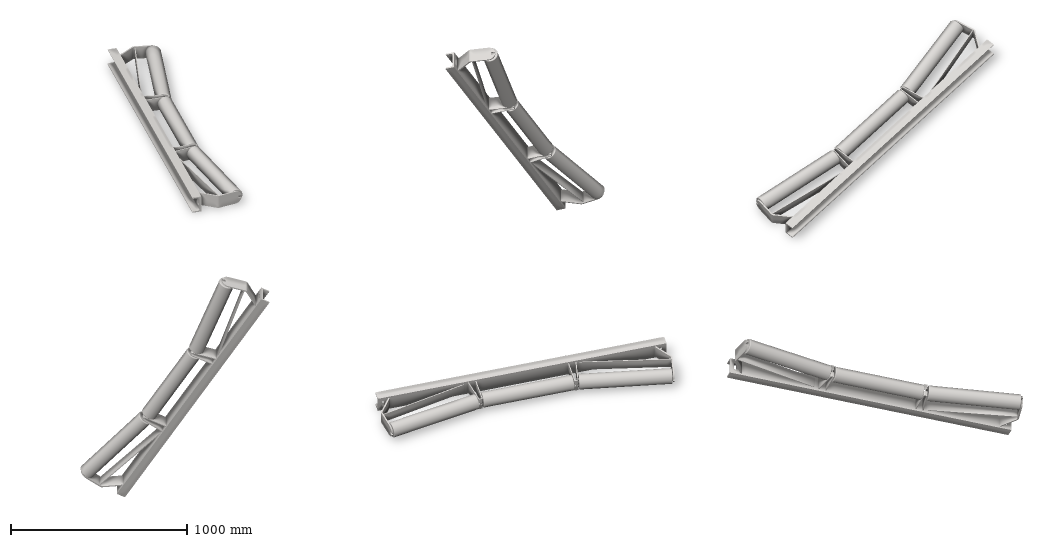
import math

import cadquery as cq

rail_length = 1697.0
rail_depth = 53.0
rail_height = 100.0
web_thickness = 10.0
flange_thickness = 7.7
root_radius = 9.0
toe_radius = 6.0
slot_width = 15.0
slot_height = 41.0
slot_from_end = 30.0

roller_length = 532.0
roller_diameter = 89.0
roller_fillet = 3.0
shaft_diameter = 24.0
shaft_flats = 15.0
end_gap = 3.0
middle_roller_y = 168.0
wing_roller_x = 563.0
wing_roller_y = 217.0
wing_angle = 10.0

plate_width = 79.0
outer_plate_thickness = 8.2
inner_plate_thickness = 5.0
bend_drop = 116.0
head_top = 33.0
bend_radius = 10.0
leg_angle = 35.0
bracket_top_y = 197.0
bracket_bend_radius = 2.0

brace_thickness = 5.0
brace_width = 62.0
brace_top_drop = 106.0
brace_foot_x = 360.0

roller_radius = roller_diameter / 2
half_roller = roller_length / 2
plate_offset = half_roller + end_gap
tilt = math.radians(wing_angle)
axis_direction = cq.Vector(math.cos(tilt), -math.sin(tilt))
up_direction = cq.Vector(math.sin(tilt), math.cos(tilt))
wing_center = cq.Vector(-wing_roller_x, wing_roller_y)


def wing_point(along, above):
    """Point of the left wing, measured along its roller axis and square to it."""
    return wing_center + axis_direction * along + up_direction * above


def point_at_height(start, direction, y):
    """Point where a line through start reaches the height y."""
    return start + direction * ((y - start.y) / direction.y)


def folded_plate(points, thickness, width):
    """Plate that follows a polyline in XY; its thickness lies to the left of the path."""
    directions = [(b - a).normalized() for a, b in zip(points, points[1:])]
    normals = [cq.Vector(-d.y, d.x) for d in directions]
    far_side = [points[0] + normals[0] * thickness]
    for point, before, after in zip(points[1:], normals, normals[1:]):
        miter = (before + after) * (thickness / (1 + before.dot(after)))
        far_side.append(point + miter)
    far_side.append(points[-1] + normals[-1] * thickness)
    outline = [(p.x, p.y) for p in points + far_side[::-1]]
    return cq.Workplane("XY", origin=(0, 0, -width / 2)).polyline(outline).close().extrude(width)


def round_fold(plate, corner, radius):
    """Round the edge along Z that lies nearest to a corner point."""
    nearest = cq.selectors.NearestToPointSelector(corner.toTuple())
    return plate.edges("|Z").edges(nearest).fillet(radius)


def cylinder_along_x(radius, start_x, end_x):
    return cq.Workplane("YZ", origin=(start_x, 0, 0)).circle(radius).extrude(end_x - start_x)


def above_rail(body):
    """Trim a body flush with the outer face of the channel web."""
    size = rail_length * 2
    keep = cq.Workplane("XY").box(size, size, size).translate((0, rail_depth + size / 2, 0))
    return body.intersect(keep)


def mirrored(body):
    return body.mirror("YZ")


def place_on_wing(body):
    """Move a body from the origin, with its axis along X, to the left wing roller."""
    return body.rotate((0, 0, 0), (0, 0, 1), -wing_angle).translate(wing_center)


def place_in_middle(body):
    return body.translate((0, middle_roller_y, 0))


def round_edge_along_x(body, y, z, radius):
    """Round the edge along X that lies nearest to the given y and z."""
    nearest = cq.selectors.NearestToPointSelector((0, y, z))
    return body.edges("|X").edges(nearest).fillet(radius)


def make_rail():
    """Channel with rounded inner corners and flange toes, and a slot near each end."""
    half_height = rail_height / 2
    inner_half_height = half_height - flange_thickness
    web_inner_y = rail_depth - web_thickness
    outline = [
        (0, -half_height),
        (rail_depth, -half_height),
        (rail_depth, half_height),
        (0, half_height),
        (0, inner_half_height),
        (web_inner_y, inner_half_height),
        (web_inner_y, -inner_half_height),
        (0, -inner_half_height),
    ]
    left_end = cq.Workplane("YZ", origin=(-rail_length / 2, 0, 0))
    rail = left_end.polyline(outline).close().extrude(rail_length)
    for side in (-1, 1):
        rail = round_edge_along_x(rail, web_inner_y, side * inner_half_height, root_radius)
        rail = round_edge_along_x(rail, 0, side * inner_half_height, toe_radius)
    slot_x = rail_length / 2 - slot_from_end
    slots = (
        cq.Workplane("XZ")
        .pushPoints([(-slot_x, 0), (slot_x, 0)])
        .slot2D(slot_height, slot_width, 90)
        .extrude(-rail_depth)
    )
    return rail.cut(slots)


def make_roller(left_end, right_end):
    """Roller at the origin, axis along X; its shaft reaches from left_end to right_end."""
    barrel = cylinder_along_x(roller_radius, -half_roller, half_roller)
    barrel = barrel.faces("<X or >X").edges().fillet(roller_fillet)
    shaft = cylinder_along_x(shaft_diameter / 2, -left_end, right_end)
    between_flats = cq.Workplane("XY").box(2 * (left_end + right_end), shaft_diameter, shaft_flats)
    return barrel.union(shaft.intersect(between_flats))


def shaft_slot(x, reach):
    """Cutter at the origin for a shaft slot around x: round below, open above."""
    seat = cylinder_along_x(shaft_diameter / 2, -reach, reach)
    mouth = cq.Workplane("XY").box(2 * reach, plate_width, shaft_diameter)
    seat = seat.union(mouth.translate((0, plate_width / 2, 0)))
    between_flats = cq.Workplane("XY").box(2 * reach, 2 * plate_width, shaft_flats)
    return seat.intersect(between_flats).translate((x, 0, 0))


def make_outer_plate():
    """Upright with a rounded, slotted head, bent towards the middle into a leg."""
    outer_face = -plate_offset - outer_plate_thickness
    top = wing_point(outer_face, head_top)
    bend = wing_point(outer_face, -bend_drop)
    lean = math.radians(leg_angle)
    foot = point_at_height(bend, cq.Vector(math.sin(lean), -math.cos(lean)), 0)
    plate = folded_plate([top, bend, foot], outer_plate_thickness, plate_width)
    inner_bend = wing_point(-plate_offset, -bend_drop)
    plate = round_fold(plate, inner_bend, bend_radius)
    plate = round_fold(plate, bend, bend_radius + outer_plate_thickness)
    return round_head(above_rail(plate))


def round_head(plate):
    """Round the top of an outer plate and cut its shaft slot."""
    reach = 4 * outer_plate_thickness
    head_radius = plate_width / 2
    square = cq.Workplane("XY").box(2 * reach, head_radius, plate_width)
    square = square.translate((0, head_radius / 2, 0))
    corners = square.cut(cylinder_along_x(head_radius, -reach, reach))
    corners = corners.translate((-plate_offset, head_top - head_radius, 0))
    slot = shaft_slot(-plate_offset, reach)
    return plate.cut(place_on_wing(corners)).cut(place_on_wing(slot))


def make_inner_bracket():
    """Folded bracket holding the inner shaft end of a wing roller and one of the middle roller."""
    leaning = wing_point(plate_offset + inner_plate_thickness, 0)
    upright_x = -plate_offset - inner_plate_thickness
    path = [
        point_at_height(leaning, up_direction, 0),
        point_at_height(leaning, up_direction, bracket_top_y - inner_plate_thickness),
        cq.Vector(upright_x, bracket_top_y - inner_plate_thickness),
        cq.Vector(upright_x, 0),
    ]
    bracket = above_rail(folded_plate(path, inner_plate_thickness, plate_width))
    for corner in path[1:3]:
        bracket = round_fold(bracket, corner, bracket_bend_radius)
        outer_corner = cq.Vector(corner.x, bracket_top_y)
        bracket = round_fold(bracket, outer_corner, bracket_bend_radius + inner_plate_thickness)
    reach = 2 * inner_plate_thickness
    wing_slot = shaft_slot(plate_offset, reach)
    middle_slot = shaft_slot(-plate_offset, reach)
    return bracket.cut(place_on_wing(wing_slot)).cut(place_in_middle(middle_slot))


def make_brace(outer_plate):
    """Flat strip from the outer plate down to the channel."""
    top = wing_point(-plate_offset - outer_plate_thickness / 2, -brace_top_drop)
    foot = cq.Vector(-brace_foot_x, rail_depth)
    below_web = point_at_height(top, foot - top, 0)
    brace = folded_plate([top, below_web], brace_thickness, brace_width)
    return above_rail(brace).cut(outer_plate)


rail = make_rail()

outer_shaft_end = plate_offset + outer_plate_thickness
inner_shaft_end = plate_offset + inner_plate_thickness
middle_roller = place_in_middle(make_roller(inner_shaft_end, inner_shaft_end))
left_roller = place_on_wing(make_roller(outer_shaft_end, inner_shaft_end))
left_plate = make_outer_plate()
left_bracket = make_inner_bracket()
left_brace = make_brace(left_plate)

bodies = [rail, middle_roller]
for left_body in (left_roller, left_plate, left_bracket, left_brace):
    bodies += [left_body, mirrored(left_body)]

result = cq.Compound.makeCompound([body.solids().val() for body in bodies])